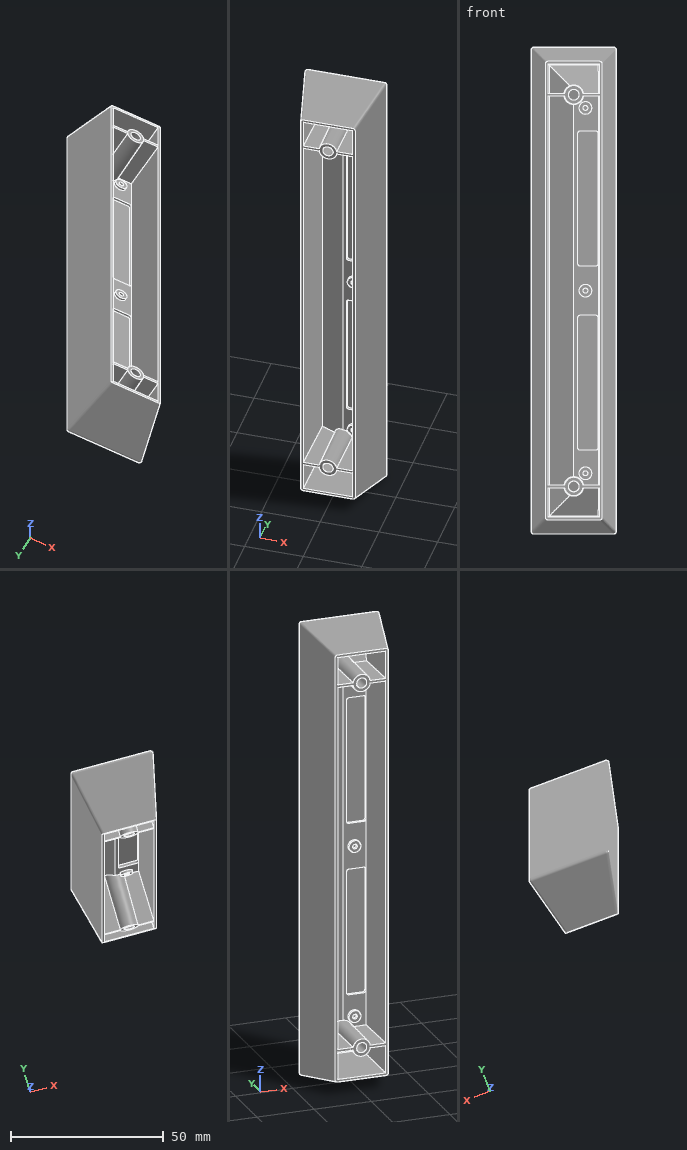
import cadquery as cq
import math


DEPTH = 22.0
FRONT_WIDTH = 18.7
FRONT_LENGTH = 150.2
BACK_WIDTH = 28.4
BACK_LENGTH = 160.0
EDGE_RADIUS = 1.0

WALL = 1.0
CAVITY_DRAFT = 1.0
FLOOR_SLOPE = 24.0
CAVITY_WIDTH = FRONT_WIDTH - 2 * WALL
CAVITY_LENGTH = FRONT_LENGTH - 2 * WALL
CAVITY_DEPTH = DEPTH - WALL
WALL_LEAN = CAVITY_DEPTH * math.tan(math.radians(CAVITY_DRAFT))
FLOOR_HALF_WIDTH = CAVITY_WIDTH / 2 - WALL_LEAN
FLOOR_HALF_LENGTH = CAVITY_LENGTH / 2 - WALL_LEAN
FLOOR_RISE = FLOOR_HALF_WIDTH * math.tan(math.radians(FLOOR_SLOPE))
PLATEAU_Y = CAVITY_DEPTH - FLOOR_RISE

SCREW_Z = 64.1
RIB_THICKNESS = 1.0
BOSS_RADIUS = 3.0
BOSS_DRAFT = 0.5
BORE_RADIUS = 1.8

STRIP_THICKNESS = 1.9
STRIP_LENGTH = 2 * SCREW_Z - RIB_THICKNESS
STRIP_WIDTH = CAVITY_WIDTH / 2 - PLATEAU_Y * math.tan(math.radians(CAVITY_DRAFT))
POCKET_LEFT_X = 1.3
POCKET_WIDTH = 6.7
POCKET_LENGTH = 44.2
POCKET_Z = 30.1
POCKET_DEPTH = 1.0
POCKET_CORNER_RADIUS = 0.8
POST_X = 3.8
POST_SPACING = 59.8
POST_RADIUS = 2.0
POST_HOLE_RADIUS = 0.8
POST_HEIGHT = 1.0


def facing_back(y):
    """Sketch plane at depth y, with X to the right and -Z up, extruding towards the back."""
    return cq.Workplane(cq.Plane(origin=(0, y, 0), xDir=(1, 0, 0), normal=(0, 1, 0)))


def outer_wedge():
    wedge = (
        facing_back(0)
        .rect(FRONT_WIDTH, FRONT_LENGTH)
        .workplane(offset=DEPTH)
        .rect(BACK_WIDTH, BACK_LENGTH)
        .loft(ruled=True)
    )
    return wedge.edges("not <Y").fillet(EDGE_RADIUS)


def left_slope():
    """Wedge-shaped floor rising from the left wall into the right wall."""
    right_y = CAVITY_DEPTH - CAVITY_WIDTH * math.tan(math.radians(FLOOR_SLOPE))
    right_x = CAVITY_WIDTH - FLOOR_HALF_WIDTH
    return (
        cq.Workplane("XY")
        .moveTo(-FLOOR_HALF_WIDTH, CAVITY_DEPTH)
        .lineTo(right_x, right_y)
        .lineTo(right_x, CAVITY_DEPTH)
        .close()
        .extrude(FLOOR_HALF_LENGTH, both=True)
    )


def end_slopes():
    """Floor rising from both end walls, and level in the middle."""
    level_y = CAVITY_DEPTH - 2 * FLOOR_RISE
    level_half_length = FLOOR_HALF_LENGTH - 2 * FLOOR_HALF_WIDTH
    return (
        cq.Workplane("YZ")
        .moveTo(CAVITY_DEPTH, -FLOOR_HALF_LENGTH)
        .lineTo(level_y, -level_half_length)
        .lineTo(level_y, level_half_length)
        .lineTo(CAVITY_DEPTH, FLOOR_HALF_LENGTH)
        .close()
        .extrude(CAVITY_WIDTH, both=True)
    )


def floor_block():
    """Sloping floor, cut level between the ribs from the middle to the right wall."""
    above_plateau = (
        facing_back(0)
        .center(CAVITY_WIDTH / 2, 0)
        .rect(CAVITY_WIDTH, 2 * SCREW_Z)
        .extrude(PLATEAU_Y)
    )
    return left_slope().intersect(end_slopes()).cut(above_plateau)


def cavity():
    hollow = facing_back(0).rect(CAVITY_WIDTH, CAVITY_LENGTH).extrude(CAVITY_DEPTH, taper=CAVITY_DRAFT)
    return hollow.cut(floor_block())


def screw_boss(z):
    return (
        facing_back(0)
        .center(0, -z)
        .circle(BOSS_RADIUS)
        .extrude(CAVITY_DEPTH, taper=-BOSS_DRAFT)
    )


def rib(z):
    return (
        facing_back(0)
        .center(0, -z)
        .rect(CAVITY_WIDTH + WALL, RIB_THICKNESS)
        .extrude(CAVITY_DEPTH)
    )


def screw_bore(z):
    """Blind bore whose bottom lies on the left slope."""
    bore = facing_back(0).center(0, -z).circle(BORE_RADIUS).extrude(CAVITY_DEPTH)
    return bore.cut(left_slope())


def strip_blank():
    """Strip outline, notched at the corners where the screw bosses stand."""
    blank = (
        facing_back(PLATEAU_Y)
        .center(STRIP_WIDTH / 2, 0)
        .rect(STRIP_WIDTH, STRIP_LENGTH)
        .extrude(STRIP_THICKNESS)
    )
    for z in (-SCREW_Z, SCREW_Z):
        blank = blank.cut(screw_boss(z))
    return blank


def make_housing():
    housing = outer_wedge().cut(cavity())
    for z in (-SCREW_Z, SCREW_Z):
        housing = housing.union(rib(z)).union(screw_boss(z)).cut(screw_bore(z))
    return housing.cut(strip_blank())


def make_label_strip():
    strip = strip_blank()
    for z in (-POCKET_Z, POCKET_Z):
        pocket = (
            facing_back(PLATEAU_Y)
            .center(POCKET_LEFT_X + POCKET_WIDTH / 2, -z)
            .rect(POCKET_WIDTH, POCKET_LENGTH)
            .extrude(POCKET_DEPTH)
            .edges("|Y")
            .fillet(POCKET_CORNER_RADIUS)
        )
        strip = strip.cut(pocket)
    for z in (-POST_SPACING, 0, POST_SPACING):
        post = (
            facing_back(PLATEAU_Y - POST_HEIGHT)
            .center(POST_X, -z)
            .circle(POST_RADIUS)
            .circle(POST_HOLE_RADIUS)
            .extrude(POST_HEIGHT)
        )
        for boss_z in (-SCREW_Z, SCREW_Z):
            post = post.cut(screw_boss(boss_z))
        strip = strip.union(post)
    return strip


housing = make_housing()
label_strip = make_label_strip()
result = cq.Compound.makeCompound([*housing.solids().vals(), *label_strip.solids().vals()])